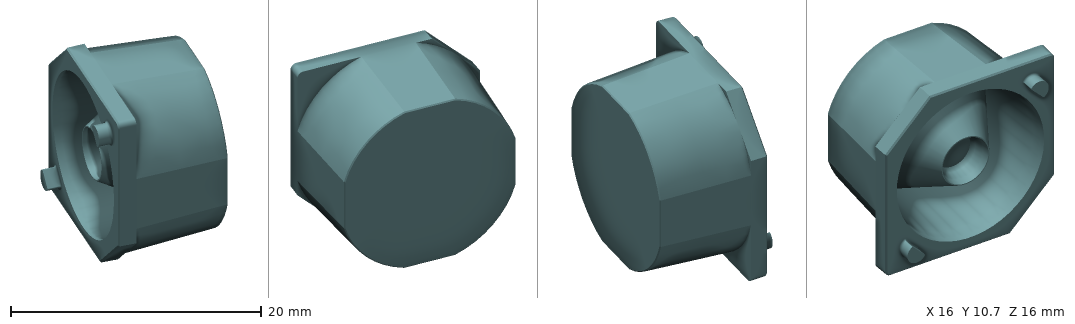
import cadquery as cq
import math

flange_side = 16.0
flange_thickness = 1.54
flange_cut = 4.2
flange_corner_radius = 0.5
flange_draft = 1.3
front_edge_chamfer = 0.13

body_depth = 8.0
body_radius = 8.35
flat_draft = 3.4
round_draft = 3.6
rear_edge_chamfer = 0.1

mouth_radius = 6.95
cavity_floor_radius = 6.43
cavity_depth = 8.0
hub_rim_depth = 0.74
hub_rim_radius = 2.25
hub_hole_radius = 2.16
hub_hole_floor_radius = 1.68
hub_hole_depth = 2.0

peg_length = 1.15
peg_offset = 5.78
peg_radius = 0.88
peg_flat_offset = 0.27
peg_corner_radius = 0.08
peg_base_fillet = 0.18

front_y = -flange_thickness
corner_box = 0.16
plane_tolerance = 0.02


def make_body():
    """Tapered housing: a drafted square trimmed by a slightly steeper cone."""
    square = cq.Workplane("ZX").rect(flange_side, flange_side).extrude(body_depth, taper=flat_draft)
    cone = cq.Workplane("ZX").circle(body_radius).extrude(body_depth, taper=round_draft)
    return square.intersect(cone).faces(">Y").chamfer(rear_edge_chamfer)


def make_flange():
    """Drafted square plate with two opposite corners cut off and the other two rounded."""
    half = flange_side / 2
    cut_end = half - flange_cut
    outline = [
        (-half, -half),
        (cut_end, -half),
        (half, -cut_end),
        (half, half),
        (-cut_end, half),
        (-half, cut_end),
    ]
    plate = cq.Workplane("XZ").polyline(outline).close().extrude(flange_thickness, taper=flange_draft)
    for corner in (half, -half):
        low = corner - corner_box
        high = corner + corner_box
        corner_edge = cq.selectors.BoxSelector((low, front_y, low), (high, 0, high))
        plate = plate.edges(corner_edge).fillet(flange_corner_radius)
    return plate.faces("<Y").chamfer(front_edge_chamfer)


def make_cavity():
    """Revolved horn cavity, leaving a conical hub with a blind tapered hole."""
    profile = [
        (0, front_y),
        (mouth_radius, front_y),
        (cavity_floor_radius, front_y + cavity_depth),
        (hub_rim_radius, front_y + hub_rim_depth),
        (hub_hole_radius, front_y + hub_rim_depth),
        (hub_hole_floor_radius, front_y + hub_rim_depth + hub_hole_depth),
        (0, front_y + hub_rim_depth + hub_hole_depth),
    ]
    return cq.Workplane("ZY").polyline(profile).close().revolve(360, (0, 0), (0, 1))


def add_peg(part, side):
    """Add a D-shaped locating peg; side is +1 for the +X+Z corner, -1 for the opposite one."""
    outward = (side / math.sqrt(2), 0, side / math.sqrt(2))
    centre = (side * peg_offset, front_y, side * peg_offset)
    plane = cq.Plane(origin=centre, xDir=outward, normal=(0, -1, 0))
    half_flat = math.sqrt(peg_radius**2 - peg_flat_offset**2)
    peg = (
        cq.Workplane(plane)
        .moveTo(-peg_flat_offset, -half_flat)
        .threePointArc((peg_radius, 0), (-peg_flat_offset, half_flat))
        .close()
        .extrude(peg_length)
        .edges("|Y")
        .fillet(peg_corner_radius)
    )
    reach = peg_radius + peg_base_fillet
    base_edges = cq.selectors.BoxSelector(
        (centre[0] - reach, front_y - plane_tolerance, centre[2] - reach),
        (centre[0] + reach, front_y + plane_tolerance, centre[2] + reach),
        boundingbox=True,
    )
    return part.union(peg).edges(base_edges).fillet(peg_base_fillet)


result = make_body().union(make_flange()).cut(make_cavity())
for side in (1, -1):
    result = add_peg(result, side)